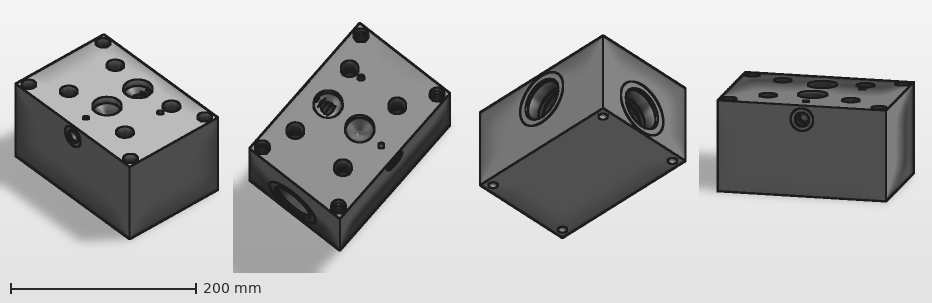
import cadquery as cq
import math

LENGTH = 187.3
WIDTH = 127.0
HEIGHT = 101.5
MIDDLE_X = LENGTH / 2

DRILL_POINT_ANGLE = 118.0
POINT_RATIO = 1 / math.tan(math.radians(DRILL_POINT_ANGLE / 2))

CORNER_INSET = 10.1
CORNER_HOLE_DIAMETER = 10.3
CORNER_BORE_DIAMETER = 16.0
CORNER_BORE_DEPTH = 12.2

BOLT_SPACING_X = 92.2
BOLT_SPACING_Y = 66.9
BOLT_CENTRE_Y = 4.9
BOLT_THREAD_DIAMETER = 19.1
BOLT_THREAD_DEPTH = 28.1
BOLT_DRILL_DIAMETER = 16.7
BOLT_DRILL_DEPTH = 35.5

PASSAGE_DIAMETER = 31.7
PASSAGE_DEPTH = 9.0
FRONT_PASSAGE_Y = -14.0
REAR_PASSAGE_Y = 30.3
PIN_DIAMETER = 7.1
PIN_DEPTH = 7.5
PIN_Y = 22.3
PILOT_DIAMETER = 6.4
PILOT_DEPTH = 2.0
PILOT_Y = -44.2

LARGE_PORT_INSET = 34.8
LEFT_PORT_Y = 3.2
LARGE_PORT = dict(
    spotface_diameter=65.2,
    seat_diameter=49.5,
    seat_depth=3.4,
    throat_diameter=48.1,
    thread_diameter=47.5,
    thread_depth=19.1,
    relief_diameter=45.5,
    relief_depth=23.8,
    drill_diameter=42.9,
    drill_depth=37.7,
)

SMALL_PORT_INSET = 16.0
SMALL_PORT = dict(
    spotface_diameter=25.1,
    seat_diameter=16.0,
    seat_depth=2.5,
    throat_diameter=14.6,
    thread_diameter=14.2,
    thread_depth=11.8,
    relief_diameter=13.0,
    relief_depth=13.1,
    drill_diameter=12.4,
    drill_depth=16.0,
)
SPOTFACE_DEPTH = 0.5


def turned_cutter(profile):
    """Revolve (radius, depth) points about the Z axis; depth runs toward -Z."""
    points = [(0, 0)] + [(radius, -depth) for radius, depth in profile]
    return cq.Workplane("XZ").polyline(points).close().revolve(360, (0, 0), (0, 1))


def with_drill_point(profile):
    """End a cutter profile in the cone left by a drill."""
    radius, depth = profile[-1]
    return profile + [(0, depth + radius * POINT_RATIO)]


def drilled_hole(diameter, depth):
    """Plain blind hole with a drill point."""
    radius = diameter / 2
    return turned_cutter(with_drill_point([(radius, 0), (radius, depth)]))


def bolt_hole():
    """Bore at the thread diameter, continued by a narrower tapping drill."""
    thread = BOLT_THREAD_DIAMETER / 2
    drill = BOLT_DRILL_DIAMETER / 2
    profile = [
        (thread, 0),
        (thread, BOLT_THREAD_DEPTH),
        (drill, BOLT_THREAD_DEPTH),
        (drill, BOLT_DRILL_DEPTH),
    ]
    return turned_cutter(with_drill_point(profile))


def corner_hole():
    """Through hole with a counterbore at the top."""
    bore = CORNER_BORE_DIAMETER / 2
    hole = CORNER_HOLE_DIAMETER / 2
    profile = [
        (bore, 0),
        (bore, CORNER_BORE_DEPTH),
        (hole, CORNER_BORE_DEPTH),
        (hole, HEIGHT),
        (0, HEIGHT),
    ]
    return turned_cutter(profile)


def port(
    spotface_diameter,
    seat_diameter,
    seat_depth,
    throat_diameter,
    thread_diameter,
    thread_depth,
    relief_diameter,
    relief_depth,
    drill_diameter,
    drill_depth,
):
    """Spotface, tapered seal seat, thread bore, narrower relief with a tapered end, then a drilled bore."""
    spotface = spotface_diameter / 2
    throat = throat_diameter / 2
    thread = thread_diameter / 2
    relief = relief_diameter / 2
    drill = drill_diameter / 2
    profile = [
        (spotface, 0),
        (spotface, SPOTFACE_DEPTH),
        (seat_diameter / 2, SPOTFACE_DEPTH),
        (throat, seat_depth),
        (thread, seat_depth + throat - thread),
        (thread, thread_depth),
        (relief, thread_depth),
        (relief, relief_depth),
        (drill, relief_depth + (relief - drill) * POINT_RATIO),
        (drill, drill_depth),
    ]
    return turned_cutter(with_drill_point(profile))


def top_hole(cutter, x, y):
    """Place a cutter so that it opens through the top face."""
    return cutter.translate((x, y, HEIGHT))


result = cq.Workplane("XY").box(LENGTH, WIDTH, HEIGHT, centered=(False, True, False))

for corner_x in (CORNER_INSET, LENGTH - CORNER_INSET):
    for side in (-1, 1):
        corner_y = side * (WIDTH / 2 - CORNER_INSET)
        result = result.cut(top_hole(corner_hole(), corner_x, corner_y))

for x_side in (-1, 1):
    for y_side in (-1, 1):
        bolt_x = MIDDLE_X + x_side * BOLT_SPACING_X / 2
        bolt_y = BOLT_CENTRE_Y + y_side * BOLT_SPACING_Y / 2
        result = result.cut(top_hole(bolt_hole(), bolt_x, bolt_y))

for passage_y in (FRONT_PASSAGE_Y, REAR_PASSAGE_Y):
    passage = drilled_hole(PASSAGE_DIAMETER, PASSAGE_DEPTH)
    result = result.cut(top_hole(passage, MIDDLE_X, passage_y))

pin_x = MIDDLE_X + BOLT_SPACING_X / 2
result = result.cut(top_hole(drilled_hole(PIN_DIAMETER, PIN_DEPTH), pin_x, PIN_Y))
result = result.cut(top_hole(drilled_hole(PILOT_DIAMETER, PILOT_DEPTH), MIDDLE_X, PILOT_Y))

left_port = port(**LARGE_PORT).rotate((0, 0, 0), (0, 1, 0), -90)
result = result.cut(left_port.translate((0, LEFT_PORT_Y, LARGE_PORT_INSET)))

rear_port = port(**LARGE_PORT).rotate((0, 0, 0), (1, 0, 0), -90)
result = result.cut(rear_port.translate((MIDDLE_X, WIDTH / 2, HEIGHT - LARGE_PORT_INSET)))

front_port = port(**SMALL_PORT).rotate((0, 0, 0), (1, 0, 0), 90)
result = result.cut(front_port.translate((MIDDLE_X, -WIDTH / 2, HEIGHT - SMALL_PORT_INSET)))